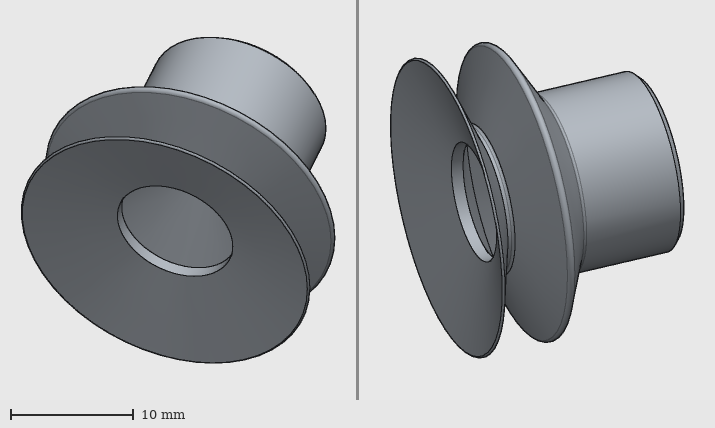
import cadquery as cq

height = 18.0
outer_radius = 12.5
neck_radius = 7.55
neck_chamfer = 0.5
shoulder_y = 9.08
shoulder_fillet = 0.38

fold_y = 6.05
fold_rim_width = 0.65
fold_rim_bulge = 0.2
groove_radius = 6.23
groove_low_y = 2.93
groove_arc_y = 3.25
groove_arc_height = 0.25
groove_arc_depth = 0.13

lip_edge_width = 0.2
lip_edge_depth = 0.15
lip_edge_mid_y = 0.08
lip_edge_mid_inset = 0.05

throat_radius = 5.0
throat_low_y = 2.43
throat_high_y = 3.45
cavity_radius = 11.0
cavity_floor_radius = 2.5
cavity_floor_y = 10.38
bore_radius = 1.5

lip_inner_radius = outer_radius - lip_edge_depth
fold_edge_radius = outer_radius - fold_rim_bulge


def revolve_about_y(outline):
    """Revolve a closed outline, with x as radius, about the Y axis."""
    return outline.close().revolve(360, (0, 0, 0), (0, 1, 0))


body = revolve_about_y(
    cq.Workplane("XY")
    .lineTo(lip_inner_radius, 0)
    .threePointArc(
        (outer_radius - lip_edge_mid_inset, lip_edge_mid_y),
        (outer_radius, lip_edge_width),
    )
    .lineTo(groove_radius, groove_low_y)
    .lineTo(groove_radius, groove_arc_y)
    .tangentArcPoint(
        (groove_radius + groove_arc_depth, groove_arc_y + groove_arc_height),
        relative=False,
    )
    .lineTo(fold_edge_radius, fold_y - fold_rim_width / 2)
    .threePointArc(
        (outer_radius, fold_y),
        (fold_edge_radius, fold_y + fold_rim_width / 2),
    )
    .lineTo(neck_radius, shoulder_y)
    .lineTo(neck_radius, height - neck_chamfer)
    .lineTo(neck_radius - neck_chamfer, height)
    .lineTo(0, height)
)

shoulder_edge = cq.selectors.BoxSelector(
    (-outer_radius, shoulder_y - shoulder_fillet, -outer_radius),
    (outer_radius, shoulder_y + shoulder_fillet, outer_radius),
    boundingbox=True,
)
body = body.edges(shoulder_edge).fillet(shoulder_fillet)

cavity = revolve_about_y(
    cq.Workplane("XY").polyline([
        (0, 0),
        (lip_inner_radius, 0),
        (throat_radius, throat_low_y),
        (throat_radius, throat_high_y),
        (cavity_radius, fold_y),
        (cavity_floor_radius, cavity_floor_y),
        (bore_radius, cavity_floor_y),
        (bore_radius, height),
        (0, height),
    ])
)

result = body.cut(cavity)